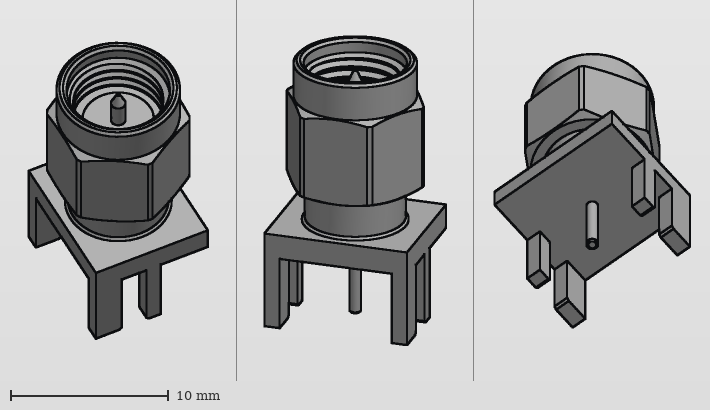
import cadquery as cq
import math

TOTAL_HEIGHT = 17.43
PLATE_BOTTOM = 4.8
PLATE_TOP = 6.42
NUT_BOTTOM = 9.05
NUT_TOP = 14.98

PLATE_X = 9.52
PLATE_Y = 7.94
LEG_THICKNESS = 1.03
CORNER_LEG_WIDTH = 1.85
MIDDLE_LEG_WIDTH = 1.03
LEG_GAP = 1.73
LEG_CHAMFER = 0.17

NECK_DIAMETER = 6.42
NECK_FLARE = 0.18

NUT_ACROSS_FLATS = 8.0
NUT_ACROSS_CORNERS = 9.05
SLEEVE_DIAMETER = 7.84
NUT_BEVEL_DIAMETER = SLEEVE_DIAMETER
NUT_BEVEL_ANGLE = 22
SLEEVE_CHAMFER = 0.2

LEAD_IN_DIAMETER = 7.0
LEAD_IN_DEPTH = 0.2
COUNTERBORE_DIAMETER = 6.55
COUNTERBORE_DEPTH = 0.91
BORE_DIAMETER = 5.72
BORE_START_DEPTH = 1.12
SOCKET_DEPTH = 3.4

THREAD_DIAMETER = 6.5
THREAD_PITCH = 25.4 / 36
THREAD_CREST_WIDTH = 0.14
THREAD_OVERLAP = 0.04
THREAD_PHASE_ANGLE = 45
THREAD_PHASE_DEPTH = 2.95
THREAD_TURNS_BELOW_PHASE = 1

INSULATOR_DIAMETER = 4.56
INSULATOR_DEPTH = 3.13

CONTACT_DIAMETER = 0.92
CONTACT_TIP_DIAMETER = 0.2
CONTACT_TIP_DEPTH = 0.71
CONTACT_SHOULDER_DEPTH = 1.5
SOLDER_PIN_DIAMETER = 0.76
SOLDER_PIN_CHAMFER = 0.12


def revolve_profile(points):
    """Solid of revolution about Z from (radius, height) points."""
    return cq.Workplane("XZ").polyline(points).close().revolve(360, (0, 0, 0), (0, 1, 0))


def cylinder(diameter, bottom, top):
    return cq.Workplane("XY").workplane(offset=bottom).circle(diameter / 2).extrude(top - bottom)


def make_plate():
    height = PLATE_TOP - PLATE_BOTTOM
    return cq.Workplane("XY").workplane(offset=PLATE_BOTTOM).rect(PLATE_X, PLATE_Y).extrude(height)


def make_leg(side, y_start, y_end, chamfered_face):
    """Leg flush with the plate end on the given X side, chamfered at one lower corner."""
    x_center = side * (PLATE_X - LEG_THICKNESS) / 2
    leg = cq.Workplane("XY").center(x_center, (y_start + y_end) / 2)
    leg = leg.rect(LEG_THICKNESS, y_end - y_start).extrude(PLATE_TOP)
    return leg.faces(chamfered_face).edges("<Z").chamfer(LEG_CHAMFER)


def make_legs():
    corner_start = -PLATE_Y / 2
    corner_end = corner_start + CORNER_LEG_WIDTH
    middle_start = corner_end + LEG_GAP
    middle_end = middle_start + MIDDLE_LEG_WIDTH
    legs = cq.Workplane("XY")
    for side in (-1, 1):
        legs = legs.union(make_leg(side, corner_start, corner_end, ">Y"))
        legs = legs.union(make_leg(side, middle_start, middle_end, "<Y"))
    return legs


def make_neck():
    radius = NECK_DIAMETER / 2
    return revolve_profile([
        (0, PLATE_TOP),
        (radius + NECK_FLARE, PLATE_TOP),
        (radius, PLATE_TOP + NECK_FLARE),
        (radius, NUT_BOTTOM),
        (0, NUT_BOTTOM),
    ])


def make_nut():
    """Hexagon with flats facing +Y and -Y, turned down at its corners and beveled at both ends."""
    corner_diameter = NUT_ACROSS_FLATS / math.cos(math.pi / 6)
    hexagon = cq.Workplane("XY").workplane(offset=NUT_BOTTOM).polygon(6, corner_diameter)
    hexagon = hexagon.extrude(NUT_TOP - NUT_BOTTOM)
    end_radius = NUT_BEVEL_DIAMETER / 2
    outer_radius = NUT_ACROSS_CORNERS / 2
    bevel_height = (outer_radius - end_radius) * math.tan(math.radians(NUT_BEVEL_ANGLE))
    envelope = revolve_profile([
        (0, NUT_BOTTOM),
        (end_radius, NUT_BOTTOM),
        (outer_radius, NUT_BOTTOM + bevel_height),
        (outer_radius, NUT_TOP - bevel_height),
        (end_radius, NUT_TOP),
        (0, NUT_TOP),
    ])
    return hexagon.intersect(envelope)


def make_sleeve():
    sleeve = cylinder(SLEEVE_DIAMETER, NUT_TOP, TOTAL_HEIGHT)
    return sleeve.faces(">Z").edges().chamfer(SLEEVE_CHAMFER)


def make_socket_mouth():
    """Lead-in cone, counterbore and the cone down to the threaded bore."""
    bore_start = TOTAL_HEIGHT - BORE_START_DEPTH
    return revolve_profile([
        (0, bore_start),
        (BORE_DIAMETER / 2, bore_start),
        (COUNTERBORE_DIAMETER / 2, TOTAL_HEIGHT - COUNTERBORE_DEPTH),
        (COUNTERBORE_DIAMETER / 2, TOTAL_HEIGHT - LEAD_IN_DEPTH),
        (LEAD_IN_DIAMETER / 2, TOTAL_HEIGHT),
        (0, TOTAL_HEIGHT),
    ])


def make_threaded_bore():
    """Bore from the socket floor up, with a helical V groove that runs out into the counterbore.

    The groove root passes through the phase angle at the phase depth below the rim.
    """
    floor = TOTAL_HEIGHT - SOCKET_DEPTH
    root_radius = THREAD_DIAMETER / 2
    open_radius = BORE_DIAMETER / 2 - THREAD_OVERLAP
    flank_slope = (THREAD_PITCH - THREAD_CREST_WIDTH) / (THREAD_DIAMETER - BORE_DIAMETER)
    half_width = (root_radius - open_radius) * flank_slope
    start = TOTAL_HEIGHT - THREAD_PHASE_DEPTH - THREAD_TURNS_BELOW_PHASE * THREAD_PITCH
    length = TOTAL_HEIGHT - COUNTERBORE_DEPTH + half_width - start
    path = cq.Wire.makeHelix(THREAD_PITCH, length, open_radius, center=cq.Vector(0, 0, start))
    groove = cq.Workplane("XZ").polyline([
        (open_radius, start - half_width),
        (root_radius, start),
        (open_radius, start + half_width),
    ]).close().sweep(cq.Workplane(obj=path), isFrenet=True)
    groove = groove.rotate((0, 0, 0), (0, 0, 1), THREAD_PHASE_ANGLE)
    bore = cylinder(BORE_DIAMETER, start - THREAD_PITCH, TOTAL_HEIGHT).union(groove)
    return bore.intersect(cylinder(LEAD_IN_DIAMETER, floor, TOTAL_HEIGHT))


def make_insulator():
    """Insulator face that stands above the socket floor."""
    return cylinder(INSULATOR_DIAMETER, TOTAL_HEIGHT - SOCKET_DEPTH, TOTAL_HEIGHT - INSULATOR_DEPTH)


def make_contact():
    """Pointed contact standing on the socket floor."""
    floor = TOTAL_HEIGHT - SOCKET_DEPTH
    shoulder = TOTAL_HEIGHT - CONTACT_SHOULDER_DEPTH
    tip = TOTAL_HEIGHT - CONTACT_TIP_DEPTH
    return revolve_profile([
        (0, floor),
        (CONTACT_DIAMETER / 2, floor),
        (CONTACT_DIAMETER / 2, shoulder),
        (CONTACT_TIP_DIAMETER / 2, tip),
        (0, tip),
    ])


def make_solder_pin():
    pin = cylinder(SOLDER_PIN_DIAMETER, 0, PLATE_TOP)
    return pin.faces("<Z").edges().chamfer(SOLDER_PIN_CHAMFER)


base = make_plate().union(make_legs()).union(make_solder_pin())
body = base.union(make_neck()).union(make_nut()).union(make_sleeve())
body = body.cut(make_threaded_bore()).cut(make_socket_mouth())
result = body.union(make_insulator()).union(make_contact())